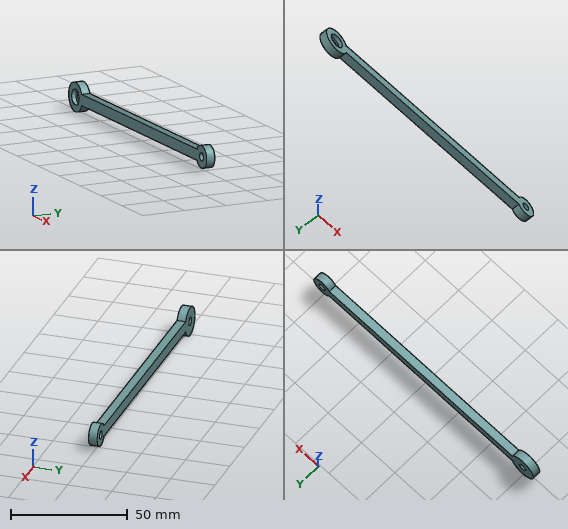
import cadquery as cq

length = 131.8
thickness = 4.0
large_eye_diameter = 13.0
small_eye_diameter = 10.0
bar_height = 5.0
pin_hole_diameter = 3.5
counterbore_diameter = 7.0
counterbore_depth = 2.0

large_eye_x = (large_eye_diameter - length) / 2
small_eye_x = (length - small_eye_diameter) / 2
front_y = -thickness / 2


def disc(center_x, diameter, depth):
    """Cylinder along Y that starts at the front face and runs back by depth."""
    profile = cq.Workplane("XZ", origin=(center_x, front_y, 0)).circle(diameter / 2)
    return profile.extrude(-depth)


bar_length = small_eye_x - large_eye_x
bar_center_x = (small_eye_x + large_eye_x) / 2
bar = cq.Workplane("XY").box(bar_length, thickness, bar_height).translate((bar_center_x, 0, 0))

link = bar.union(disc(large_eye_x, large_eye_diameter, thickness))
link = link.union(disc(small_eye_x, small_eye_diameter, thickness))

for eye_x in (large_eye_x, small_eye_x):
    link = link.cut(disc(eye_x, pin_hole_diameter, thickness))

result = link.cut(disc(large_eye_x, counterbore_diameter, counterbore_depth))